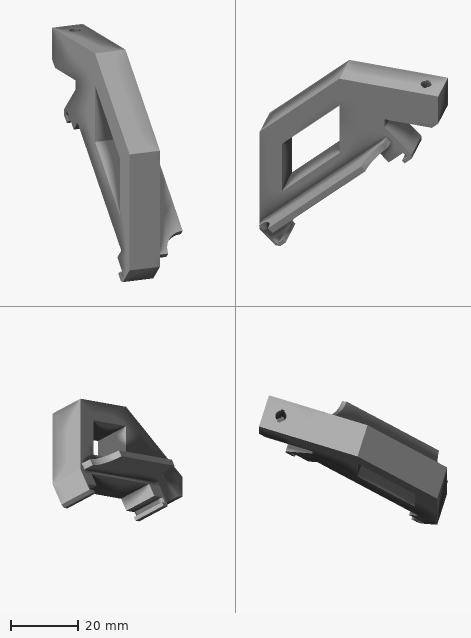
import cadquery as cq
import math

WIDTH = 55.7
HEIGHT = 65.78
PLATE_THICKNESS = 10.0
ARM_HEIGHT = 12.0
ARM_CORNER_CHAMFER = 2.0
TOP_LENGTH = 30.8
NOTCH_X = 16.7

EDGE_START_X = 18.25
EDGE_START_Z = -24.8
EDGE_LENGTH = 44.5

JAW_HEIGHT = 4.0
JAW_LENGTH = 6.0
GROOVE_WIDTH = 1.8
LIP_LENGTH = 2.0
LIP_THICKNESS = 1.2
UPPER_WALL = 2.1
LOWER_WALL = 1.5
UPPER_BEVEL_X = 8.3
GROOVE_CHAMFER = 0.5

FRAME_WALL = 7.0

STRIP_LENGTH = 55.0
STRIP_THICKNESS = 2.0
STRIP_HEIGHT = 10.0
STRIP_OFFSET = 1.0
STRIP_SCALLOP_RADIUS = 7.0

HOLE_X = 5.3
HOLE_DEPTH = 10.0
HOLE_DIAMETER = 3.3
KEY_WIDTH = 1.0
KEY_LENGTH = 4.0

DIAGONAL = math.sqrt(2)


def on_edge(along, above):
    """X, Z of a point given along the diagonal edge and square above it."""
    x = EDGE_START_X + (along + above) / DIAGONAL
    z = EDGE_START_Z + (above - along) / DIAGONAL
    return (x, z)


GROOVE_BOTTOM = -JAW_HEIGHT - GROOVE_WIDTH
LIP_BOTTOM = GROOVE_BOTTOM - LIP_THICKNESS

UPPER_FLOOR = -JAW_LENGTH
LOWER_FLOOR = EDGE_LENGTH + JAW_LENGTH
UPPER_OUTSIDE = UPPER_FLOOR - UPPER_WALL
LOWER_OUTSIDE = LOWER_FLOOR + LOWER_WALL

LIP_SUM = sum(on_edge(0, LIP_BOTTOM))
UPPER_OUTSIDE_DIFFERENCE = EDGE_START_Z - EDGE_START_X - UPPER_OUTSIDE * DIAGONAL
LOWER_OUTSIDE_DIFFERENCE = EDGE_START_Z - EDGE_START_X - LOWER_OUTSIDE * DIAGONAL


def extrude_back(points, start_y, depth):
    """Prism of an X, Z outline running from start_y towards +Y."""
    plane = cq.Workplane("XZ", origin=(0, start_y, 0))
    return plane.polyline(points).close().extrude(-depth)


def edge_plane(above):
    """Workplane along the diagonal edge: local X runs down the edge, local Y is the part's Y."""
    x, z = on_edge(0, above)
    return cq.Workplane(cq.Plane(origin=(x, 0, z), xDir=(1, 0, -1), normal=(1, 0, 1)))


def make_plate():
    outline = [
        (0, 0),
        (TOP_LENGTH, 0),
        (WIDTH, TOP_LENGTH - WIDTH),
        (WIDTH, WIDTH + LOWER_OUTSIDE_DIFFERENCE),
        (-HEIGHT - LOWER_OUTSIDE_DIFFERENCE, -HEIGHT),
        (LIP_SUM + HEIGHT, -HEIGHT),
        on_edge(LOWER_FLOOR - LIP_LENGTH, LIP_BOTTOM),
        on_edge(LOWER_FLOOR - LIP_LENGTH, GROOVE_BOTTOM),
        on_edge(LOWER_FLOOR, GROOVE_BOTTOM),
        on_edge(LOWER_FLOOR, -JAW_HEIGHT),
        on_edge(EDGE_LENGTH, -JAW_HEIGHT),
        on_edge(EDGE_LENGTH, 0),
        on_edge(0, 0),
        on_edge(0, -JAW_HEIGHT),
        on_edge(UPPER_FLOOR, -JAW_HEIGHT),
        on_edge(UPPER_FLOOR, GROOVE_BOTTOM),
        on_edge(UPPER_FLOOR + LIP_LENGTH, GROOVE_BOTTOM),
        on_edge(UPPER_FLOOR + LIP_LENGTH, LIP_BOTTOM),
        (UPPER_BEVEL_X, LIP_SUM - UPPER_BEVEL_X),
        (UPPER_BEVEL_X, UPPER_BEVEL_X + UPPER_OUTSIDE_DIFFERENCE),
        (NOTCH_X, NOTCH_X + UPPER_OUTSIDE_DIFFERENCE),
        (NOTCH_X, -ARM_HEIGHT),
        (ARM_CORNER_CHAMFER, -ARM_HEIGHT),
        (0, ARM_CORNER_CHAMFER - ARM_HEIGHT),
    ]
    return extrude_back(outline, 0, PLATE_THICKNESS)


def make_window():
    left = TOP_LENGTH
    right = WIDTH - FRAME_WALL
    upper_sum = TOP_LENGTH - FRAME_WALL * DIAGONAL
    lower_sum = sum(on_edge(0, FRAME_WALL))
    outline = [
        (left, upper_sum - left),
        (right, upper_sum - right),
        (right, lower_sum - right),
        (left, lower_sum - left),
    ]
    return extrude_back(outline, 0, PLATE_THICKNESS)


def extrude_above_edge(above, points, height):
    """Prism of an outline in (along the edge, Y), starting at a level above the edge."""
    return edge_plane(above).polyline(points).close().extrude(height)


def make_groove_chamfer(floor, outward, face_y, inward):
    """Wedge that widens a groove floor at one plate face.

    outward is the sign of the widening along the edge, inward the sign of Y into the plate.
    """
    wedge = [
        (floor, face_y),
        (floor + outward * GROOVE_CHAMFER, face_y),
        (floor, face_y + inward * GROOVE_CHAMFER),
    ]
    return extrude_above_edge(GROOVE_BOTTOM, wedge, GROOVE_WIDTH)


def make_strip():
    """Strip whose two far corners are scooped out by quarter circles."""
    base_y = PLATE_THICKNESS
    top_y = base_y + STRIP_HEIGHT
    end = UPPER_FLOOR + STRIP_LENGTH
    strip = extrude_above_edge(
        STRIP_OFFSET,
        [(UPPER_FLOOR, base_y), (end, base_y), (end, top_y), (UPPER_FLOOR, top_y)],
        STRIP_THICKNESS,
    )
    scallops = (
        edge_plane(STRIP_OFFSET)
        .pushPoints([(UPPER_FLOOR, top_y), (end, top_y)])
        .circle(STRIP_SCALLOP_RADIUS)
        .extrude(STRIP_THICKNESS)
    )
    return strip.cut(scallops)


def make_keyed_hole():
    floor = cq.Workplane("XY", origin=(HOLE_X, PLATE_THICKNESS / 2, -HOLE_DEPTH))
    bore = floor.circle(HOLE_DIAMETER / 2).extrude(HOLE_DEPTH)
    key = floor.rect(KEY_WIDTH, KEY_LENGTH).extrude(HOLE_DEPTH)
    return bore.union(key)


body = make_plate().cut(make_window()).cut(make_keyed_hole())
for groove_floor, outward_sign in [(UPPER_FLOOR, -1), (LOWER_FLOOR, 1)]:
    for plate_face, inward_sign in [(0, 1), (PLATE_THICKNESS, -1)]:
        body = body.cut(make_groove_chamfer(groove_floor, outward_sign, plate_face, inward_sign))

result = body.union(make_strip())